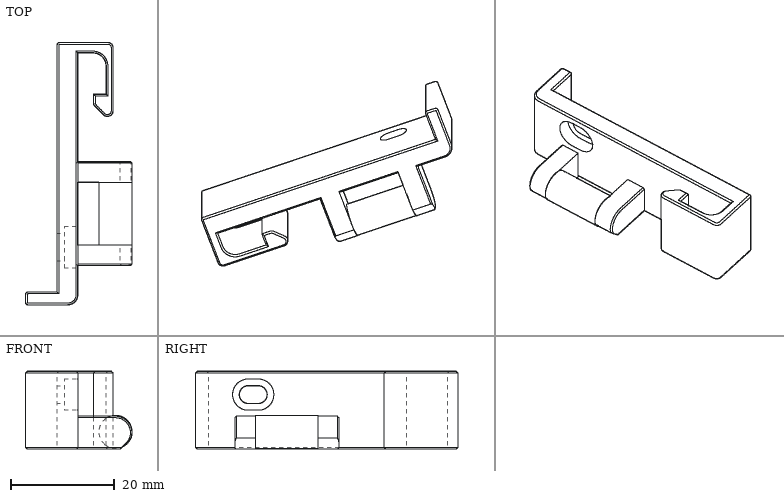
import cadquery as cq
import math

length = 50.5
height = 15.0
foot_reach = 6.05
wall_thickness = 4.05
foot_thickness = 2.5
rim_chamfer = 0.35

wall_left = foot_reach
wall_right = wall_left + wall_thickness

hook_right = 16.85
hook_top_thickness = 2.0
hook_arm_thickness = 1.35
barb_left = 13.1
barb_top = 40.55
barb_side_end = 38.5
hook_inner_radius = 2.5
barb_side_radius = 1.0
barb_tip_radius = 1.1

small_radius = 0.5
hook_radius = 1.0
heel_radius = 2.0

pin_radius = 3.2
pin_x = 20.5 - pin_radius
pin_z = 3.35
lug_radius = 3.2
lug_flat_end = 18.2
hinge_start = 7.6
lug_thickness = 4.0
lug_gap = 12.0
lug_chamfer = 0.3
hinge_end = hinge_start + 2 * lug_thickness + lug_gap

slot_y = 11.1
slot_z = 10.5
slot_length = 5.3
slot_width = 3.4
slot_floor = 1.45
head_width = 6.0


def make_body():
    """Wall with its foot and snap hook, vertical edges rounded and rims chamfered."""
    arm_inner = hook_right - hook_arm_thickness
    hook_under = length - hook_top_thickness
    barb_tip = barb_side_end - (hook_right - barb_left)
    outline = [
        (0, 0),
        (wall_right, 0),
        (wall_right, hook_under),
        (arm_inner, hook_under),
        (arm_inner, barb_top),
        (barb_left, barb_top),
        (barb_left, barb_side_end),
        (hook_right, barb_tip),
        (hook_right, length),
        (wall_left, length),
        (wall_left, foot_thickness),
        (0, foot_thickness),
    ]
    rounded_corners = [
        (0, 0, small_radius),
        (0, foot_thickness, small_radius),
        (wall_left, length, small_radius),
        (wall_right, 0, heel_radius),
        (arm_inner, hook_under, hook_inner_radius),
        (barb_left, barb_side_end, barb_side_radius),
        (hook_right, barb_tip, barb_tip_radius),
        (hook_right, length, hook_radius),
    ]
    body = cq.Workplane("XY").polyline(outline).close().extrude(height)
    for x, y, radius in rounded_corners:
        corner = cq.selectors.NearestToPointSelector((x, y, height / 2))
        body = body.edges("|Z").edges(corner).fillet(radius)
    return body.faces("<Z or >Z").chamfer(rim_chamfer)


def make_lug(start, outer_face):
    """Round-nosed lug, chamfered around its outer face and cut at 45 degrees underneath."""
    root_x = wall_left + wall_thickness / 2
    lug_height = 2 * lug_radius
    nose_x = lug_radius * math.sqrt(0.5)
    tangent_end = pin_x + lug_radius * (math.sqrt(2) - 1)
    lug = (
        cq.Workplane("XZ", origin=(0, start + lug_thickness, 0))
        .moveTo(root_x, 0)
        .lineTo(tangent_end, 0)
        .lineTo(pin_x + nose_x, lug_radius - nose_x)
        .threePointArc((pin_x + lug_radius, lug_radius), (pin_x, lug_height))
        .lineTo(root_x, lug_height)
        .close()
        .extrude(lug_thickness)
        .faces(outer_face)
        .chamfer(lug_chamfer)
    )
    under_cut = (
        cq.Workplane("XZ", origin=(lug_flat_end, start + lug_thickness, 0))
        .polyline([(0, 0), (lug_height, 0), (lug_height, lug_height)])
        .close()
        .extrude(lug_thickness)
    )
    return lug.cut(under_cut)


def make_hinge():
    """Two lugs with the pin between them."""
    near_lug = make_lug(hinge_start, "<Y")
    far_lug = make_lug(hinge_end - lug_thickness, ">Y")
    pin = (
        cq.Workplane("XZ", origin=(pin_x, hinge_end - lug_thickness, pin_z))
        .circle(pin_radius)
        .extrude(lug_gap)
    )
    return near_lug.union(far_lug).union(pin)


def make_slot():
    """Round-ended cutter along X, widened behind a thin floor to take a screw head."""
    head_length = slot_length + head_width - slot_width
    slot = (
        cq.Workplane("YZ", origin=(wall_left, slot_y, slot_z))
        .slot2D(slot_length, slot_width)
        .extrude(wall_thickness)
    )
    head_pocket = (
        cq.Workplane("YZ", origin=(wall_left + slot_floor, slot_y, slot_z))
        .slot2D(head_length, head_width)
        .extrude(wall_thickness - slot_floor)
    )
    return slot.union(head_pocket)


result = make_body().union(make_hinge()).cut(make_slot())